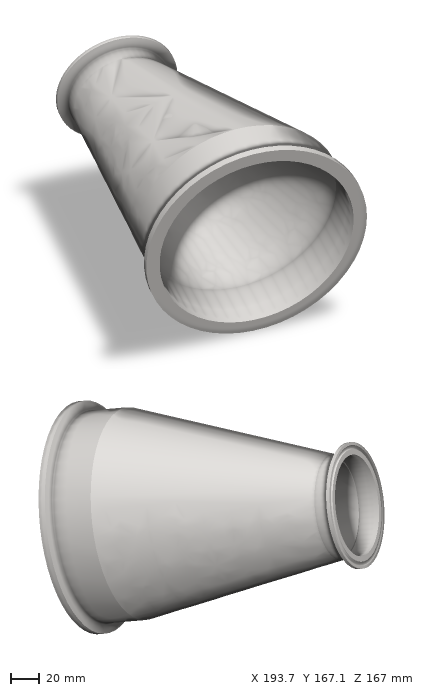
import cadquery as cq
import math

total_length = 193.7

small_rim_d = 90.8
small_tube_d = 76.1
small_bore_d = 72.8
small_rim_width = 2.7
small_length = 15.5

large_rim_d = 167.0
large_tube_d = 152.5
large_bore_d = 146.8
large_rim_width = 5.0
large_length = 37.8

cone_small_bore_d = small_tube_d - (large_tube_d - large_bore_d)

clamp_angle = 20.0
neck_fillet = 1.4

groove_mean_d = 83.7
groove_width = 3.0
groove_depth = 1.2

axis_offset = -(large_tube_d - small_tube_d) / 2
cone_end = total_length - large_length


def ferrule_body(rim_d, tube_d, rim_width, length):
    """Solid ferrule with its face at X = 0 and its tube running toward +X."""
    rim_r = rim_d / 2
    tube_r = tube_d / 2
    slope = math.radians(clamp_angle)
    flare_end = rim_width + (rim_r - tube_r) * math.tan(slope)

    tangent_length = neck_fillet * math.tan((math.pi / 2 - slope) / 2)
    arc_start = (
        flare_end - tangent_length * math.sin(slope),
        tube_r + tangent_length * math.cos(slope),
    )
    arc_end = (flare_end + tangent_length, tube_r)

    return (
        cq.Workplane("XY")
        .lineTo(0, rim_r)
        .lineTo(rim_width, rim_r)
        .lineTo(*arc_start)
        .radiusArc(arc_end, -neck_fillet)
        .lineTo(length, tube_r)
        .lineTo(length, 0)
        .close()
        .revolve(360, (0, 0, 0), (1, 0, 0))
    )


def skewed_cone(small_d, large_d):
    """Straight-sided cone between the inner ends of the two tubes."""
    return (
        cq.Workplane("YZ", origin=(small_length, 0, 0))
        .center(axis_offset, 0)
        .circle(small_d / 2)
        .workplane(offset=cone_end - small_length)
        .center(-axis_offset, 0)
        .circle(large_d / 2)
        .loft(ruled=True)
    )


def bore(diameter, start, length, y):
    """Cylinder along X, from start, centered at the given Y."""
    return cq.Workplane("YZ", origin=(start, y, 0)).circle(diameter / 2).extrude(length)


def gasket_groove():
    """Ring with a circular-arc section, cut into the small face."""
    middle = groove_mean_d / 2
    return (
        cq.Workplane("XY")
        .moveTo(0, middle - groove_width / 2)
        .threePointArc((groove_depth, middle), (0, middle + groove_width / 2))
        .close()
        .revolve(360, (0, 0, 0), (1, 0, 0))
        .translate((0, axis_offset, 0))
    )


small_ferrule = ferrule_body(small_rim_d, small_tube_d, small_rim_width, small_length)
small_ferrule = small_ferrule.translate((0, axis_offset, 0))

large_ferrule = ferrule_body(large_rim_d, large_tube_d, large_rim_width, large_length)
large_ferrule = large_ferrule.mirror("YZ").translate((total_length, 0, 0))

outside = small_ferrule.union(skewed_cone(small_tube_d, large_tube_d)).union(large_ferrule)

passage = (
    bore(small_bore_d, 0, small_length, axis_offset)
    .union(skewed_cone(cone_small_bore_d, large_bore_d))
    .union(bore(large_bore_d, cone_end, large_length, 0))
)

result = outside.cut(passage).cut(gasket_groove())